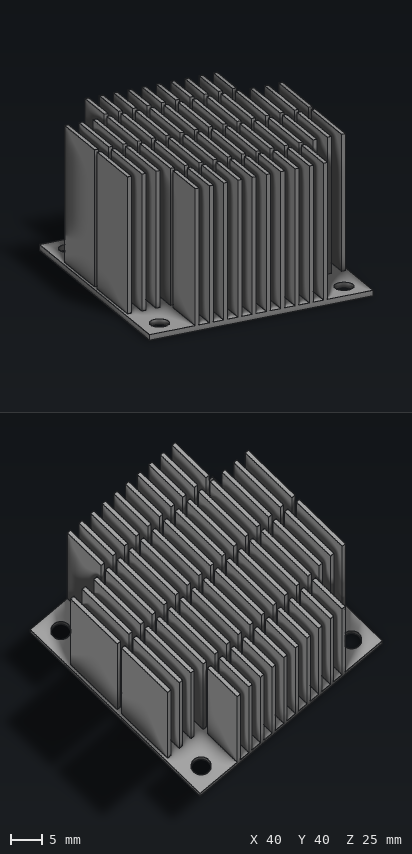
import cadquery as cq

side = 40.0
base_thickness = 1.0

overall_height = 25.0
fin_height = overall_height - base_thickness
fin_count = 16
fin_thickness = 0.7
fin_span = 39.0
fin_margin = (side - fin_span) / 2
fin_pitch = (fin_span - fin_thickness) / (fin_count - 1)

slot_width = 1.0
slot_count = 3
slot_pitch = 12.0
first_slot_start = 7.0

fins_cleared = 3
clearing_side = fin_margin + fins_cleared * fin_pitch

hole_diameter = 3.2
hole_spacing = 33.0


def on_base(length_x, length_y, x, y):
    """Fin-height box on the base, with its low corner at x, y from the plate corner."""
    return (
        cq.Workplane("XY")
        .box(length_x, length_y, fin_height, centered=False)
        .translate((x - side / 2, y - side / 2, base_thickness))
    )


def make_base():
    """Square plate with a through hole near each corner."""
    return (
        cq.Workplane("XY")
        .box(side, side, base_thickness, centered=(True, True, False))
        .faces(">Z")
        .workplane()
        .rect(hole_spacing, hole_spacing, forConstruction=True)
        .vertices()
        .hole(hole_diameter)
    )


def make_clearances():
    """Volumes removed from the fins: the cross slots and the corner clearings."""
    volumes = []
    for index in range(slot_count):
        slot_start = first_slot_start + index * slot_pitch
        volumes.append(on_base(slot_width, side, slot_start, 0))
    far_clearing_start = side - clearing_side
    for x in (0, far_clearing_start):
        for y in (0, far_clearing_start):
            volumes.append(on_base(clearing_side, clearing_side, x, y))
    return volumes


def make_fins():
    """All fin lengths that remain after slotting and clearing the corners."""
    fins = cq.Workplane("XY")
    for index in range(fin_count):
        fins = fins.add(on_base(side, fin_thickness, 0, fin_margin + index * fin_pitch))
    fins = fins.combine()
    for volume in make_clearances():
        fins = fins.cut(volume)
    return fins


result = make_base().union(make_fins())